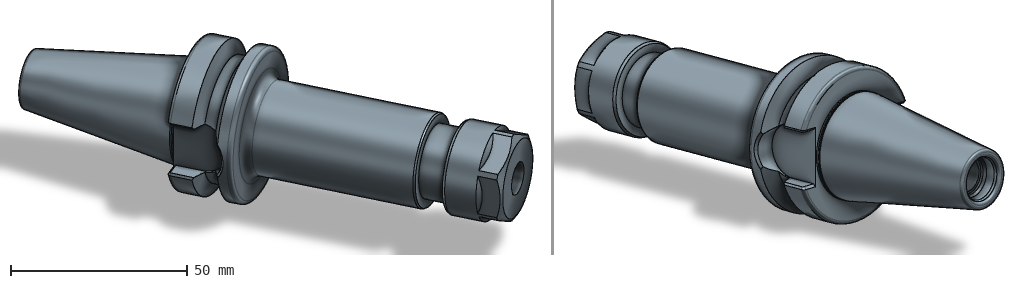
import cadquery as cq
import math

OVERALL_LENGTH = 148.8
TOLERANCE = 0.01

TAPER_SMALL_R = 8.8
TAPER_LARGE_R = 15.9
TAPER_END_X = 49.0
NOSE_FILLET = 0.9
RELIEF_R = 15.8
RELIEF_EDGE = 0.5

FLANGE_R = 46.0 / 2
FLANGE_FRONT_X = 50.3
FLANGE_BACK_X = 70.5
FLANGE_FRONT_FILLET = 1.0
FLANGE_BACK_FILLET = 1.3
RIB_BACK_X = 57.9
GROOVE_R = 18.7
GROOVE_START_X = 60.1
GROOVE_END_X = 63.7
COLLAR_FRONT_X = 66.0

SLOT_HALF_WIDTH = 8.0
SLOT_FLOOR_Y = 16.4
SLOT_END_X = 67.3
SLOT_CHAMFER = 0.7

BODY_R = 14.0
BODY_END_X = 122.9
BODY_CHAMFER_LENGTH = 0.6
BODY_CHAMFER_DEPTH = 0.3
BODY_FILLET = 2.8
NECK_R = 11.0

MOUTH_R = 6.5
MOUTH_FILLET = 0.9
MOUTH_END_X = 1.0
COUNTERBORE_R = 6.2
COUNTERBORE_START_X = 1.8
COUNTERBORE_END_X = 4.8
SEAT_R = 11.2 / 2
SEAT_CONE_END_X = 5.5
SEAT_X = 6.4
BORE_R = 9.7 / 2

NUT_R = BODY_R
NUT_START_X = 131.1
NUT_CHAMFER_LENGTH = 0.9
NUT_CHAMFER_DEPTH = 0.5
NUT_LIP = 4.5
HEX_START_X = 141.5
HEX_SIDES = 6
HEX_ACROSS_FLATS = 25.0
HEX_SHOULDER_LENGTH = 1.3
NUT_FACE_R = 11.8
NUT_FACE_CHAMFER = 1.5

NECK_END_X = OVERALL_LENGTH - NUT_LIP


def revolve_about_x(profile):
    """Revolve a closed XY outline about the X axis."""
    return profile.close().revolve(360, (0, 0, 0), (1, 0, 0))


def circle_edges(solid, x, radius):
    """Circular edges of one radius about the X axis, at one place along it."""
    return solid.edges("%CIRCLE").filter(
        lambda edge: abs(edge.Center().x - x) < TOLERANCE and abs(edge.radius() - radius) < TOLERANCE
    )


def holder_blank():
    """Solid turned shape with sharp corners at the places filleted later."""
    outline = (
        cq.Workplane("XY")
        .moveTo(0, 0)
        .lineTo(0, TAPER_SMALL_R)
        .lineTo(TAPER_END_X, TAPER_LARGE_R)
        .lineTo(TAPER_END_X + RELIEF_EDGE, RELIEF_R)
        .lineTo(FLANGE_FRONT_X - RELIEF_EDGE, RELIEF_R)
        .lineTo(FLANGE_FRONT_X, TAPER_LARGE_R)
        .lineTo(FLANGE_FRONT_X, FLANGE_R)
        .lineTo(RIB_BACK_X, FLANGE_R)
        .lineTo(GROOVE_START_X, GROOVE_R)
        .lineTo(GROOVE_END_X, GROOVE_R)
        .lineTo(COLLAR_FRONT_X, FLANGE_R)
        .lineTo(FLANGE_BACK_X, FLANGE_R)
        .lineTo(FLANGE_BACK_X, BODY_R)
        .lineTo(BODY_END_X - BODY_CHAMFER_LENGTH, BODY_R)
        .lineTo(BODY_END_X, BODY_R - BODY_CHAMFER_DEPTH)
        .lineTo(BODY_END_X, NECK_R)
        .lineTo(NECK_END_X, NECK_R)
        .lineTo(NECK_END_X, 0)
    )
    return revolve_about_x(outline)


def holder_bore():
    """Stepped bore that narrows from the small end of the taper to a through hole."""
    outline = (
        cq.Workplane("XY")
        .moveTo(0, 0)
        .lineTo(0, MOUTH_R)
        .lineTo(MOUTH_END_X, MOUTH_R)
        .lineTo(COUNTERBORE_START_X, COUNTERBORE_R)
        .lineTo(COUNTERBORE_END_X, COUNTERBORE_R)
        .lineTo(SEAT_CONE_END_X, SEAT_R)
        .lineTo(SEAT_X, SEAT_R)
        .lineTo(SEAT_X, BORE_R)
        .lineTo(NECK_END_X, BORE_R)
        .lineTo(NECK_END_X, 0)
    )
    return revolve_about_x(outline)


def drive_slot():
    """Round-ended slot cut into the flange from the +Y side."""
    arc_start_x = SLOT_END_X - SLOT_HALF_WIDTH
    return (
        cq.Workplane("XZ", origin=(0, SLOT_FLOOR_Y, 0))
        .moveTo(FLANGE_FRONT_X, -SLOT_HALF_WIDTH)
        .lineTo(arc_start_x, -SLOT_HALF_WIDTH)
        .threePointArc((SLOT_END_X, 0), (arc_start_x, SLOT_HALF_WIDTH))
        .lineTo(FLANGE_FRONT_X, SLOT_HALF_WIDTH)
        .close()
        .extrude(SLOT_FLOOR_Y - FLANGE_R)
    )


def slot_edges(solid):
    """Edges where the slot walls meet the flange's front face and its round outside."""

    def is_wall_edge(edge):
        middle = edge.positionAt(0.5)
        in_slot = (
            abs(middle.y) > SLOT_FLOOR_Y + TOLERANCE
            and abs(middle.z) < SLOT_HALF_WIDTH + TOLERANCE
            and middle.x < SLOT_END_X + TOLERANCE
        )
        on_front = abs(middle.x - FLANGE_FRONT_X) < TOLERANCE
        on_outside = abs(math.hypot(middle.y, middle.z) - FLANGE_R) < TOLERANCE
        return in_slot and (on_front or on_outside)

    return solid.edges().filter(is_wall_edge)


def make_holder():
    """Taper shank, gripper flange, body and neck, turned from one piece."""
    body = holder_blank().cut(holder_bore())
    fillets = (
        (0, TAPER_SMALL_R, NOSE_FILLET),
        (0, MOUTH_R, MOUTH_FILLET),
        (FLANGE_FRONT_X, FLANGE_R, FLANGE_FRONT_FILLET),
        (FLANGE_BACK_X, FLANGE_R, FLANGE_BACK_FILLET),
        (FLANGE_BACK_X, BODY_R, BODY_FILLET),
    )
    for x, radius, fillet in fillets:
        body = circle_edges(body, x, radius).fillet(fillet)
    for angle in (0, 180):
        body = body.cut(drive_slot().rotate((0, 0, 0), (1, 0, 0), angle))
    return slot_edges(body).chamfer(SLOT_CHAMFER)


def hex_flats_cutter():
    """Ring that leaves a hexagon, with flats facing +Y and -Y, behind a conical shoulder."""
    flat_r = HEX_ACROSS_FLATS / 2
    hex_length = OVERALL_LENGTH - HEX_START_X
    corner_diameter = HEX_ACROSS_FLATS / math.cos(math.pi / HEX_SIDES)
    hex_core = (
        cq.Workplane("YZ", origin=(HEX_START_X, 0, 0))
        .polygon(HEX_SIDES, corner_diameter)
        .extrude(hex_length)
        .rotate((0, 0, 0), (1, 0, 0), 90)
    )
    ring = revolve_about_x(
        cq.Workplane("XY")
        .moveTo(HEX_START_X, NUT_R)
        .lineTo(HEX_START_X + HEX_SHOULDER_LENGTH, flat_r)
        .lineTo(OVERALL_LENGTH, flat_r)
        .lineTo(OVERALL_LENGTH, NUT_R)
    )
    return ring.cut(hex_core)


def make_nut():
    """Clamping nut whose recess takes the holder's neck."""
    blank = revolve_about_x(
        cq.Workplane("XY")
        .moveTo(NUT_START_X, NECK_R)
        .lineTo(NUT_START_X, NUT_R - NUT_CHAMFER_DEPTH)
        .lineTo(NUT_START_X + NUT_CHAMFER_LENGTH, NUT_R)
        .lineTo(OVERALL_LENGTH - NUT_FACE_CHAMFER, NUT_R)
        .lineTo(OVERALL_LENGTH, NUT_FACE_R)
        .lineTo(OVERALL_LENGTH, BORE_R)
        .lineTo(NECK_END_X, BORE_R)
        .lineTo(NECK_END_X, NECK_R)
    )
    return blank.cut(hex_flats_cutter())


holder = make_holder()
nut = make_nut()

result = cq.Compound.makeCompound([holder.val(), nut.val()])